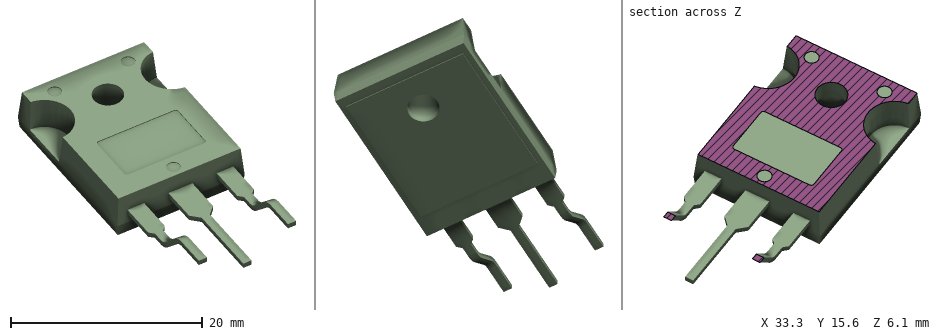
import cadquery as cq
import math

body_length = 19.98
body_width = 15.6
base_z = 0.1
parting_z = 1.5
top_z = 5.03
draft_angle = 5.0

pad_start = 1.23
pad_length = 16.1
pad_width = 14.0

hole_x = 5.3
hole_diameter = 3.4
notch_floor_diameter = 5.83
notch_draft = 5.0

mark_depth = 0.1
dimple_diameter = 1.53
dimple_positions = [(2.0, 4.5), (2.0, -4.5), (18.48, 0.0)]
label_x = 14.0
label_length = 6.03
label_width = 9.92
label_corner = 0.33

lead_end = 33.3
lead_root = body_length - 1.0
lead_bottom_z = 2.5
lead_thickness = 0.6
lead_width = 1.0
lead_pitch = 5.45
shoulder_end = 23.98
outer_shoulder_width = 2.03
middle_shoulder_width = 2.93

total_height = 6.1
bend_start = 25.65
bend_angle = 45.0
bend_inner_radius = 1.23


def drafted_block(height):
    """Body footprint at the parting plane, tapering inward over the height."""
    return (
        cq.Workplane("XY", origin=(body_length / 2, 0, parting_z))
        .rect(body_length, body_width)
        .extrude(height, taper=draft_angle)
    )


def make_body():
    upper = drafted_block(top_z - parting_z)
    lower = drafted_block(base_z - parting_z)
    pad = (
        cq.Workplane("XY")
        .center(pad_start + pad_length / 2, 0)
        .rect(pad_length, pad_width)
        .extrude(parting_z)
    )
    return upper.union(lower).union(pad)


def notch_cutter(side):
    """Half-round notch at one long edge, wider at the top than at its floor."""
    return (
        cq.Workplane("XY", origin=(hole_x, side * body_width / 2, parting_z))
        .circle(notch_floor_diameter / 2)
        .extrude(top_z - parting_z, taper=-notch_draft)
    )


def mark_cutters():
    floor = cq.Workplane("XY", origin=(0, 0, top_z - mark_depth))
    dimples = floor.pushPoints(dimple_positions).circle(dimple_diameter / 2).extrude(mark_depth)
    label = (
        floor.center(label_x, 0)
        .rect(label_length, label_width)
        .extrude(mark_depth)
        .edges("|Z")
        .fillet(label_corner)
    )
    return dimples.union(label)


def lead_plan(y, shoulder_width):
    """Lead seen from above: wide shoulder, 45 degree taper, narrow tail."""
    wide = shoulder_width / 2
    narrow = lead_width / 2
    taper_end = shoulder_end + wide - narrow
    return (
        cq.Workplane("XY")
        .center(0, y)
        .polyline([
            (lead_root, -wide),
            (shoulder_end, -wide),
            (taper_end, -narrow),
            (lead_end, -narrow),
            (lead_end, narrow),
            (taper_end, narrow),
            (shoulder_end, wide),
            (lead_root, wide),
        ])
        .close()
        .extrude(total_height)
    )


def straight_profile():
    """Side profile of the middle lead."""
    return (
        cq.Workplane("XZ", origin=(0, body_width / 2, 0))
        .moveTo(lead_root, lead_bottom_z)
        .lineTo(lead_end, lead_bottom_z)
        .lineTo(lead_end, lead_bottom_z + lead_thickness)
        .lineTo(lead_root, lead_bottom_z + lead_thickness)
        .close()
        .extrude(body_width)
    )


def bent_profile():
    """Side profile of an outer lead, stepped up through two equal bends."""
    angle = math.radians(bend_angle)
    outer_radius = bend_inner_radius + lead_thickness
    raised_bottom_z = total_height - lead_thickness
    rise = raised_bottom_z - lead_bottom_z
    bend_radii = bend_inner_radius + outer_radius
    ramp_rise = rise - bend_radii * (1 - math.cos(angle))
    bend_end = bend_start + bend_radii * math.sin(angle) + ramp_rise / math.tan(angle)
    lower_center_z = lead_bottom_z + outer_radius
    upper_center_z = total_height - outer_radius

    def lower_point(radius, turn):
        return bend_start + radius * math.sin(turn), lower_center_z - radius * math.cos(turn)

    def upper_point(radius, turn):
        return bend_end - radius * math.sin(turn), upper_center_z + radius * math.cos(turn)

    return (
        cq.Workplane("XZ", origin=(0, body_width / 2, 0))
        .moveTo(lead_root, lead_bottom_z)
        .lineTo(*lower_point(outer_radius, 0))
        .threePointArc(lower_point(outer_radius, angle / 2), lower_point(outer_radius, angle))
        .lineTo(*upper_point(bend_inner_radius, angle))
        .threePointArc(upper_point(bend_inner_radius, angle / 2), upper_point(bend_inner_radius, 0))
        .lineTo(lead_end, raised_bottom_z)
        .lineTo(lead_end, total_height)
        .lineTo(*upper_point(outer_radius, 0))
        .threePointArc(upper_point(outer_radius, angle / 2), upper_point(outer_radius, angle))
        .lineTo(*lower_point(bend_inner_radius, angle))
        .threePointArc(lower_point(bend_inner_radius, angle / 2), lower_point(bend_inner_radius, 0))
        .lineTo(lead_root, lead_bottom_z + lead_thickness)
        .close()
        .extrude(body_width)
    )


body = make_body()
for side in (-1, 1):
    body = body.cut(notch_cutter(side))
hole = cq.Workplane("XY").center(hole_x, 0).circle(hole_diameter / 2).extrude(top_z)
body = body.cut(hole).cut(mark_cutters())

result = body.union(lead_plan(0, middle_shoulder_width).intersect(straight_profile()))
for side in (-1, 1):
    outer_lead = lead_plan(side * lead_pitch, outer_shoulder_width).intersect(bent_profile())
    result = result.union(outer_lead)